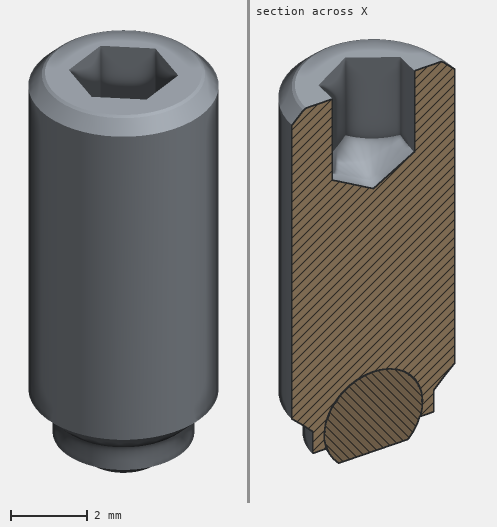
import cadquery as cq
import math

total_length = 11.8
body_radius = 2.5

top_face_radius = 2.06
chamfer_top_radius = 2.15
top_face_height = 0.05
chamfer_base_z = 11.4

nose_radius = 1.86
nose_bottom_z = 0.6
nose_top_z = 1.31
taper_top_z = nose_top_z + (body_radius - nose_radius)

hex_across_flats = 2.5
hex_corner_diameter = hex_across_flats / math.cos(math.pi / 6)
hex_depth = 2.5
floor_cone_angle = 120.0
floor_cone_depth = hex_corner_diameter / 2 / math.tan(math.radians(floor_cone_angle / 2))

ball_radius = 1.5
ball_flat_radius = 1.06
ball_center_z = math.sqrt(ball_radius**2 - ball_flat_radius**2)


def make_ball():
    """Ball cut flat at Z = 0."""
    profile = (
        cq.Workplane("XZ")
        .lineTo(ball_flat_radius, 0)
        .threePointArc((ball_radius, ball_center_z), (0, ball_center_z + ball_radius))
        .close()
    )
    return profile.revolve(360, (0, 0, 0), (0, 1, 0))


def make_hex_socket():
    """Hexagonal prism ending in a cone that is trimmed by the hexagon."""
    prism_depth = hex_depth + floor_cone_depth
    prism = (
        cq.Workplane("XY", origin=(0, 0, total_length - prism_depth))
        .polygon(6, hex_corner_diameter)
        .extrude(prism_depth)
    )
    pointed_cylinder = (
        cq.Workplane("XZ", origin=(0, 0, total_length - prism_depth))
        .lineTo(hex_corner_diameter / 2, floor_cone_depth)
        .lineTo(hex_corner_diameter / 2, prism_depth)
        .lineTo(0, prism_depth)
        .close()
        .revolve(360, (0, 0, 0), (0, 1, 0))
    )
    return prism.intersect(pointed_cylinder)


def make_screw(ball):
    """Turned screw body with a hexagon socket above and a seat for the ball below."""
    turned_body = (
        cq.Workplane("XZ")
        .moveTo(0, nose_bottom_z)
        .lineTo(nose_radius, nose_bottom_z)
        .lineTo(nose_radius, nose_top_z)
        .lineTo(body_radius, taper_top_z)
        .lineTo(body_radius, chamfer_base_z)
        .lineTo(chamfer_top_radius, total_length - top_face_height)
        .lineTo(top_face_radius, total_length)
        .lineTo(0, total_length)
        .close()
        .revolve(360, (0, 0, 0), (0, 1, 0))
    )
    return turned_body.cut(make_hex_socket()).cut(ball)


ball = make_ball()
screw = make_screw(ball)

result = cq.Compound.makeCompound([screw.val(), ball.val()])